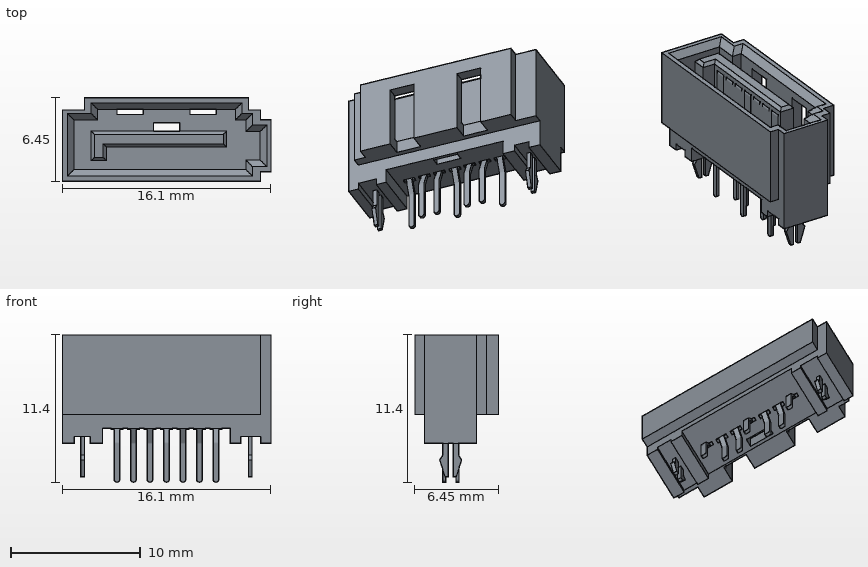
import cadquery as cq
import math


total_length = 16.08
total_depth = 6.45
top_z = 8.36
skirt_z = 2.22
left_x = -total_length / 2
right_x = total_length / 2
main_right_x = right_x - 0.81
base_front_y = 0.735
base_back_y = 4.75
shoulder_y = 5.51
back_left_x = left_x + 1.70
back_right_x = right_x - 1.73

floor_z = 3.22
lead_in = 0.51
side_wall = 0.90
end_wall = 0.84
corner_wall = 1.03
bay_corner_wall = 1.13
front_wall = 0.91
key_wall = 0.91
shoulder_wall = 0.78

tongue_left_x = left_x + 2.23
tongue_right_x = left_x + 12.65
tongue_back_y = 3.87
tongue_front_y = 2.65
tongue_leg_width = 1.17
tongue_leg_front_y = 1.60
tongue_chamfer = 0.25

opening_width = 2.0
window_offset = 2.81
window_front_y = 5.17
window_top_z = top_z - 1.15
floor_hole_depth = 0.63

contact_notch = (left_x + 3.11, left_x + 12.93, 1.16)
left_clip_notch = (left_x + 0.93, left_x + 2.14, 0.53)
right_clip_notch = (left_x + 13.75, main_right_x, 0.53)

contact_count = 7
contact_row_x = -0.02
contact_pitch = 1.27
contact_thickness = 0.25
contact_width = 0.9
pin_width = 0.45
contact_top_z = top_z - 0.65
contact_shoulder_z = 1.06
bend_top_z = 1.16
bend_bottom_z = 0.02
bend_radius = 0.25
row_shift = 0.51
front_row_recess = 0.01
pin_tip_z = -2.99

clip_offset = 6.455
clip_thickness = 0.3
clip_center_y = 2.76
clip_half_gap = 0.18
clip_half_width = 0.60
clip_half_barb = 0.85
clip_half_tip = 0.43
clip_root_z = 0.53
clip_neck_z = -0.88
clip_barb_z = -1.27
clip_tip_z = -2.57


def box(x0, x1, y0, y1, z0, z1):
    """Box between two opposite corners."""
    return cq.Workplane("XY").box(x1 - x0, y1 - y0, z1 - z0, centered=False).translate((x0, y0, z0))


def prism(points, z0, z1):
    """Upright prism over a closed XY outline."""
    return cq.Workplane("XY").workplane(offset=z0).polyline(points).close().extrude(z1 - z0)


def make_body():
    """Stepped upper body standing on a narrower base."""
    outline = [
        (left_x, 0),
        (main_right_x, 0),
        (main_right_x, base_front_y),
        (right_x, base_front_y),
        (right_x, base_back_y),
        (main_right_x, base_back_y),
        (main_right_x, shoulder_y),
        (back_right_x, shoulder_y),
        (back_right_x, total_depth),
        (back_left_x, total_depth),
        (back_left_x, shoulder_y),
        (left_x, shoulder_y),
    ]
    base = box(left_x, right_x, base_front_y, base_back_y, 0, skirt_z)
    return prism(outline, skirt_z, top_z).union(base)


def cavity_outline(grow):
    """Cavity outline, with every wall pushed outward by grow."""
    left = left_x + side_wall - grow
    right = right_x - end_wall + grow
    main_right = main_right_x - bay_corner_wall + grow
    back_section_left = back_left_x + corner_wall - grow
    back_section_right = back_right_x - corner_wall + grow
    front = front_wall - grow
    key_front = base_front_y + key_wall - grow
    key_back = base_back_y - key_wall + grow
    shoulder = shoulder_y - shoulder_wall + grow
    back = total_depth - front_wall + grow
    return [
        (left, front),
        (main_right, front),
        (main_right, key_front),
        (right, key_front),
        (right, key_back),
        (main_right, key_back),
        (main_right, shoulder),
        (back_section_right, shoulder),
        (back_section_right, back),
        (back_section_left, back),
        (back_section_left, shoulder),
        (left, shoulder),
    ]


def make_cavity():
    """Stepped cavity that flares outward at its mouth."""
    flare = (
        cq.Workplane("XY")
        .workplane(offset=top_z - lead_in)
        .polyline(cavity_outline(0))
        .close()
        .workplane(offset=lead_in)
        .polyline(cavity_outline(lead_in))
        .close()
        .loft(ruled=True)
    )
    return prism(cavity_outline(0), floor_z, top_z - lead_in).union(flare)


def make_tongue():
    """L-shaped tongue, chamfered all round its top."""
    leg_right_x = tongue_left_x + tongue_leg_width
    outline = [
        (tongue_left_x, tongue_leg_front_y),
        (leg_right_x, tongue_leg_front_y),
        (leg_right_x, tongue_front_y),
        (tongue_right_x, tongue_front_y),
        (tongue_right_x, tongue_back_y),
        (tongue_left_x, tongue_back_y),
    ]
    return prism(outline, floor_z, top_z).faces(">Z").chamfer(tongue_chamfer)


def cut_openings(housing):
    """Two back windows running down through the skirt, and one hole behind the tongue."""
    half = opening_width / 2
    for x in (-window_offset, window_offset):
        housing = housing.cut(box(x - half, x + half, window_front_y, total_depth, skirt_z, window_top_z))
    hole_back_y = tongue_back_y + floor_hole_depth
    return housing.cut(box(-half, half, tongue_back_y, hole_back_y, 0, floor_z))


def cut_notches(housing):
    """Clearance notches across the underside of the base."""
    for x0, x1, ceiling_z in (contact_notch, left_clip_notch, right_clip_notch):
        housing = housing.cut(box(x0, x1, base_front_y, base_back_y, 0, ceiling_z))
    return housing


def make_contact(x, direction):
    """Contact whose pin bends forward (direction -1) or back (+1)."""
    recess = front_row_recess if direction < 0 else 0
    front_y = tongue_front_y + recess
    back_y = front_y + contact_thickness
    shift = direction * row_shift

    bend_angle = math.atan2(row_shift, bend_top_z - bend_bottom_z)
    mitre = direction * contact_thickness / 2 * math.tan(bend_angle / 2)
    side = (
        cq.Workplane("YZ")
        .moveTo(front_y, contact_top_z - contact_thickness)
        .lineTo(front_y, bend_top_z - mitre)
        .lineTo(front_y + shift, bend_bottom_z - mitre)
        .lineTo(front_y + shift, pin_tip_z)
        .lineTo(back_y + shift, pin_tip_z)
        .lineTo(back_y + shift, bend_bottom_z + mitre)
        .lineTo(back_y, bend_top_z + mitre)
        .lineTo(back_y, contact_top_z)
        .radiusArc((front_y, contact_top_z - contact_thickness), -contact_thickness)
        .close()
        .extrude(contact_width / 2, both=True)
    )
    bend_zone = cq.selectors.BoxSelector(
        (-contact_width, 0, bend_bottom_z - contact_thickness),
        (contact_width, total_depth, bend_top_z + contact_thickness),
    )
    side = side.edges("|X").edges(bend_zone).fillet(bend_radius)

    half_wide = contact_width / 2
    half_pin = pin_width / 2
    front = (
        cq.Workplane("XZ")
        .moveTo(-half_wide, contact_top_z)
        .lineTo(-half_wide, contact_shoulder_z)
        .lineTo(-half_pin, contact_shoulder_z)
        .lineTo(-half_pin, pin_tip_z + half_pin)
        .threePointArc((0, pin_tip_z), (half_pin, pin_tip_z + half_pin))
        .lineTo(half_pin, contact_shoulder_z)
        .lineTo(half_wide, contact_shoulder_z)
        .lineTo(half_wide, contact_top_z)
        .close()
        .extrude(-total_depth)
    )
    return side.intersect(front).translate((x, 0, 0))


def add_contacts(housing):
    """Pocket the tongue for each contact and fit it; every third pin bends forward."""
    pocket_back_y = tongue_front_y + contact_thickness
    for i in range(contact_count):
        x = contact_row_x + (i - (contact_count - 1) / 2) * contact_pitch
        x0 = x - contact_width / 2
        x1 = x + contact_width / 2
        housing = housing.cut(box(x0, x1, tongue_front_y, pocket_back_y, floor_z, contact_top_z))
        direction = -1 if i % 3 == 0 else 1
        housing = housing.union(make_contact(x, direction))
    return housing


def make_prong(side):
    """One barbed clip prong; side is -1 (front) or +1 (back)."""
    profile = [
        (clip_half_gap, clip_root_z),
        (clip_half_width, clip_root_z),
        (clip_half_width, clip_neck_z),
        (clip_half_barb, clip_barb_z),
        (clip_half_tip, clip_tip_z),
        (clip_half_gap, clip_tip_z),
    ]
    points = [(clip_center_y + side * y, z) for y, z in profile]
    return cq.Workplane("YZ").polyline(points).close().extrude(clip_thickness / 2, both=True)


def add_clips(housing):
    """A pair of prongs hanging from each clip notch."""
    for x in (contact_row_x - clip_offset, contact_row_x + clip_offset):
        for side in (-1, 1):
            housing = housing.union(make_prong(side).translate((x, 0, 0)))
    return housing


housing = make_body().cut(make_cavity())
housing = cut_openings(housing)
housing = cut_notches(housing)
housing = housing.union(make_tongue())
housing = add_contacts(housing)
result = add_clips(housing)